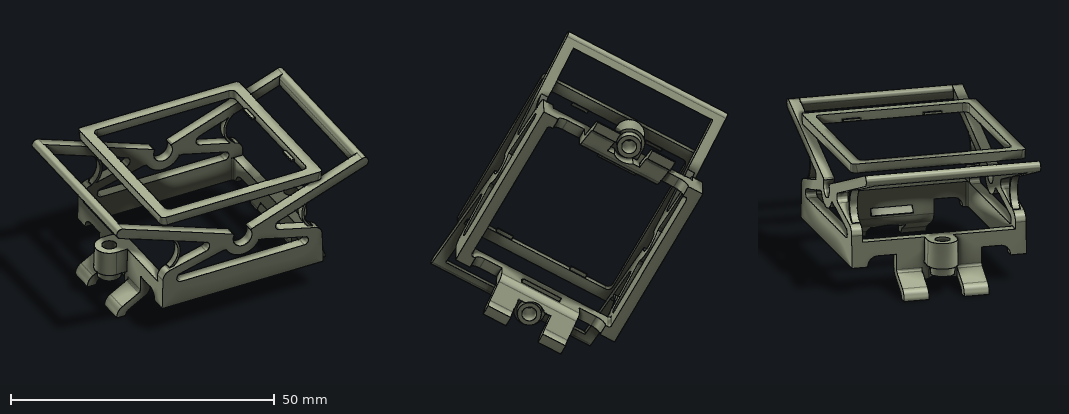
import cadquery as cq
import math


span = 54.0
side = 34.5
wall = 2.15
half_side = side / 2
half_inside = half_side - wall
pick_reach = 0.025
overlap = 0.55

rim_height = 5.0
end_draft = math.radians(1.5)
inside_corner_radius = 0.5
shoulder_height = 7.9
shoulder_radius = 2.0

link_angle = math.radians(14.4)
link_depth = 2.0
window_end = 14.1
window_radius = 0.85
link_flat_height = 9.2

arm_angle = math.radians(20)
arm_radius = 1.0
tip_y = span / 2 - arm_radius
tip_z = 19.9
bar_inside_y = tip_y - arm_radius
crotch_radius = 1.0

seat_z = 11.05
seat_radius = 2.0
seat_outer_radius = 4.0
mouth_half_width = 1.8
lip_radius = 0.3

spring_y = 17.4
spring_z = 11.7
spring_radius = 4.4
spring_thickness = 0.5
spring_width = 1.5
spring_end_reach = 0.2

notch_height = 2.05
notch_outer_x = 14.1
notch_radius = 2.0

clip_outer_x = 8.4
clip_inner_x = 3.45
clip_angle = math.radians(30)
clip_bend_z = -1.35
clip_bend_radius = 0.7
clip_inner_bend_z = -2.0
clip_inner_bend_radius = 2.15
clip_knee_y = 21.15
clip_inner_knee_y = 19.65
clip_tip_y = 22.35
clip_tip_inner_y = 20.4
clip_bottom = -5.85

ledge_width = 8.2
ledge_depth = 0.75
ledge_top = 1.3
ledge_bottom = -0.1

boss_y = 19.5
boss_radius = 2.95
boss_draft = 1.0
boss_hole_diameter = 2.8
nozzle_radius = 2.4
nozzle_length = 1.75
nozzle_draft = 3.0

frame_bottom = 18.85
frame_height = 1.85
frame_top_radius = 0.75
frame_bottom_radius = 1.2
frame_inside_radius = 1.0
tab_x = 8.0
tab_width = 3.45
tab_depth = 0.75
tab_bottom = 0.3
tab_tip_top = 0.75
tab_root_top = 0.65


def extrude_along_x(sketch_on_yz, x_start, x_end):
    """Extrude a YZ sketch from x_start to x_end."""
    return sketch_on_yz.extrude(x_end - x_start).translate((x_start, 0, 0))


def box(x_start, x_end, y_start, y_end, z_start, z_end):
    """Axis-aligned box between opposite corners."""
    size = (x_end - x_start, y_end - y_start, z_end - z_start)
    return cq.Workplane("XY").box(*size, centered=False).translate((x_start, y_start, z_start))


def both_ends(solid):
    """The solid at the +Y end together with its mirror image at the -Y end."""
    return solid.union(solid.mirror("XZ"))


def end_wall_y(z):
    """Outer face of the +Y end wall at height z."""
    return half_side - z * math.tan(end_draft)


def link_top_z(y):
    """Height of the upper face of the link."""
    return shoulder_height + (end_wall_y(shoulder_height) - y) * math.tan(link_angle)


def arm_center_z(y):
    """Height of the centre line of the lever arm."""
    return tip_z - (tip_y - y) * math.tan(arm_angle)


def fillet_at(solid, y, z, radius):
    """Round the X-direction edge that passes through (y, z)."""
    corner = cq.selectors.BoxSelector(
        (-side, y - pick_reach, z - pick_reach), (side, y + pick_reach, z + pick_reach)
    )
    return solid.edges(corner).fillet(radius)


def lower_profile():
    """The +Y half of end wall, side walls and links as a full-width block."""
    top_y = end_wall_y(shoulder_height)
    half = extrude_along_x(
        cq.Workplane("YZ").polyline([
            (0, 0), (half_side, 0), (top_y, shoulder_height), (0, link_top_z(0)),
        ]).close(),
        -half_side, half_side,
    )
    return fillet_at(half, top_y, shoulder_height, shoulder_radius)


def window_cut():
    """Opening under one link."""
    top_z = link_top_z(window_end) - link_depth
    flat_y = window_end - (link_flat_height - top_z) / math.tan(link_angle)
    cut = extrude_along_x(
        cq.Workplane("YZ").polyline([
            (0, rim_height), (window_end, rim_height), (window_end, top_z),
            (flat_y, link_flat_height), (0, link_flat_height),
        ]).close(),
        -half_side, half_side,
    )
    cut = fillet_at(cut, window_end, rim_height, window_radius)
    return fillet_at(cut, window_end, top_z, window_radius)


def arm():
    """Lever arm and handle bar at full width, running inward to the mouth of the seat."""
    half_depth = arm_radius / math.cos(arm_angle)
    lip_y = mouth_half_width
    lip_z = arm_center_z(lip_y) + half_depth
    normal_y = arm_radius * math.sin(arm_angle)
    normal_z = arm_radius * math.cos(arm_angle)
    body = extrude_along_x(
        cq.Workplane("YZ").moveTo(lip_y, lip_z)
        .lineTo(tip_y - normal_y, tip_z + normal_z)
        .threePointArc(
            (tip_y + arm_radius * math.cos(arm_angle), tip_z + arm_radius * math.sin(arm_angle)),
            (tip_y + normal_y, tip_z - normal_z),
        )
        .lineTo(lip_y, arm_center_z(lip_y) - half_depth)
        .close(),
        -half_side, half_side,
    )
    return fillet_at(body, lip_y, lip_z, lip_radius)


def crotch():
    """Web that fills the corner between arm and link up to a round end."""
    half_depth = arm_radius / math.cos(arm_angle)
    slope_sum = math.tan(arm_angle) + math.tan(link_angle)
    corner_y = (link_top_z(0) - arm_center_z(0) + half_depth) / slope_sum
    corner_z = link_top_z(corner_y)
    half_angle = (arm_angle + link_angle) / 2
    middle_angle = (arm_angle - link_angle) / 2
    reach = crotch_radius / math.sin(half_angle)
    center_y = corner_y + reach * math.cos(middle_angle)
    center_z = corner_z + reach * math.sin(middle_angle)
    upper = (
        center_y - crotch_radius * math.sin(arm_angle),
        center_z + crotch_radius * math.cos(arm_angle),
    )
    lower = (
        center_y - crotch_radius * math.sin(link_angle),
        center_z - crotch_radius * math.cos(link_angle),
    )
    nose = (
        center_y - crotch_radius * math.cos(middle_angle),
        center_z - crotch_radius * math.sin(middle_angle),
    )
    return extrude_along_x(
        cq.Workplane("YZ").moveTo(mouth_half_width, link_flat_height)
        .lineTo(*lower).threePointArc(nose, upper)
        .lineTo(mouth_half_width, arm_center_z(mouth_half_width)).close(),
        -half_side, half_side,
    )


def side_profile():
    """Everything that shares the side outline, as one block across the full width."""
    body = both_ends(lower_profile().cut(window_cut()))
    body = body.union(both_ends(arm().union(crotch())))
    seat = cq.Workplane("YZ").center(0, seat_z)
    disc = extrude_along_x(seat.circle(seat_outer_radius), -half_side, half_side)
    seat_top = seat_z + seat_outer_radius
    disc = disc.cut(box(-half_side, half_side, -half_side, half_side, seat_z, seat_top))
    bore = extrude_along_x(seat.circle(seat_radius), -half_side, half_side)
    mouth = box(-half_side, half_side, -mouth_half_width, mouth_half_width, seat_z, seat_top)
    return body.union(disc).cut(bore).cut(mouth)


def inside_cut():
    """Open middle of the housing: a square well, widened in Y above the rim."""
    well = (
        cq.Workplane("XY").rect(2 * half_inside, 2 * half_inside).extrude(rim_height)
        .edges("|Z").fillet(inside_corner_radius)
    )
    top = tip_z + arm_radius + overlap
    upper = box(-half_inside, half_inside, -bar_inside_y, bar_inside_y, rim_height, top)
    return well.union(upper)


def bar_rounding():
    """Cut that rounds the upper inner corner of the +Y handle bar between the arms."""
    corner = box(
        -half_inside, half_inside, bar_inside_y, tip_y, tip_z, tip_z + 2 * arm_radius
    )
    round_bar = extrude_along_x(
        cq.Workplane("YZ").center(tip_y, tip_z).circle(arm_radius), -half_inside, half_inside
    )
    return corner.cut(round_bar)


def notch():
    """Cut in the lower edge of the +Y end wall, round at the outer upper corner."""
    cut = box(clip_outer_x, notch_outer_x, half_inside - overlap, half_side + overlap, 0, notch_height)
    return cut.edges("|Y").edges(">X and >Z").fillet(notch_radius)


def clip_pair():
    """Clips below the +Y end wall, with the plain web between them."""
    slope = math.tan(clip_angle)
    bend_y = end_wall_y(clip_bend_z)
    knee_z = clip_bend_z - (clip_knee_y - bend_y) * slope
    inner_knee_z = clip_inner_bend_z - (clip_inner_knee_y - half_inside) * slope
    outer_side = (
        cq.Workplane("YZ").moveTo(half_inside, 0).lineTo(half_side, 0)
        .lineTo(bend_y, clip_bend_z).lineTo(clip_knee_y, knee_z)
        .tangentArcPoint((clip_tip_y, clip_bottom), relative=False)
        .lineTo(clip_tip_inner_y, clip_bottom)
    )
    chord_y = clip_tip_inner_y - clip_inner_knee_y
    chord_z = clip_bottom - inner_knee_z
    turn = math.atan2(-chord_z, chord_y) - clip_angle
    bulge = math.tan(turn / 2) / 2
    middle = (
        clip_inner_knee_y + chord_y / 2 - chord_z * bulge,
        inner_knee_z + chord_z / 2 + chord_y * bulge,
    )
    body = extrude_along_x(
        outer_side.threePointArc(middle, (clip_inner_knee_y, inner_knee_z))
        .lineTo(half_inside, clip_inner_bend_z).close(),
        -clip_outer_x, clip_outer_x,
    )
    body = fillet_at(body, bend_y, clip_bend_z, clip_bend_radius)
    body = fillet_at(body, half_inside, clip_inner_bend_z, clip_inner_bend_radius)
    gap = extrude_along_x(
        cq.Workplane("YZ").polyline([
            (half_side, 0), (end_wall_y(clip_bottom), clip_bottom),
            (clip_tip_y + overlap, clip_bottom), (clip_tip_y + overlap, 0),
        ]).close(),
        -clip_inner_x, clip_inner_x,
    )
    clearance = (
        cq.Workplane("XY").center(0, boss_y).circle(boss_radius).extrude(clip_bottom)
    )
    return body.cut(gap).cut(clearance)


def ledge():
    """Wedge on the inside of the +Y end wall."""
    tip = half_inside - ledge_depth
    return extrude_along_x(
        cq.Workplane("YZ").polyline([
            (half_inside, ledge_top), (tip, 0), (tip, ledge_bottom),
            (half_inside + overlap, ledge_bottom), (half_inside + overlap, ledge_top),
        ]).close(),
        -ledge_width / 2, ledge_width / 2,
    )


def boss():
    """Drafted boss on the +Y end wall with a nozzle below it."""
    back = half_inside + overlap
    body = (
        cq.Workplane("XY").moveTo(-boss_radius, back).lineTo(-boss_radius, boss_y)
        .threePointArc((0, boss_y + boss_radius), (boss_radius, boss_y))
        .lineTo(boss_radius, back).close().extrude(rim_height, taper=boss_draft)
    )
    nozzle = (
        cq.Workplane("XY").center(0, boss_y).circle(nozzle_radius)
        .extrude(-nozzle_length, taper=nozzle_draft)
    )
    return body.union(nozzle)


def boss_hole():
    """Hole through the +Y boss and its nozzle."""
    hole = cq.Workplane("XY").center(0, boss_y).circle(boss_hole_diameter / 2)
    return hole.extrude(rim_height + nozzle_length).translate((0, 0, -nozzle_length))


def spring():
    """Thin curved strip between the arm and the link at the +X, +Y corner."""
    center = cq.Workplane("YZ").center(spring_y, spring_z)
    ring = center.circle(spring_radius).circle(spring_radius - spring_thickness)
    strip = extrude_along_x(ring, half_inside, half_inside + spring_width)
    arm_line = arm_center_z(half_inside)
    link_line = link_top_z(half_inside) - link_depth / 2
    keep = box(
        half_inside, half_side, spring_y - spring_radius, half_inside + spring_end_reach,
        link_line, arm_line,
    )
    return strip.intersect(keep)


def make_housing():
    """Housing with side links, arms, handle bars, springs, clips and bosses in one piece."""
    body = side_profile().cut(inside_cut()).cut(both_ends(bar_rounding()))
    notches = both_ends(notch())
    body = body.cut(notches).cut(notches.mirror("YZ"))
    body = body.union(both_ends(clip_pair())).union(both_ends(ledge()))
    body = body.union(both_ends(boss())).cut(both_ends(boss_hole()))
    springs = both_ends(spring())
    return body.union(springs).union(springs.mirror("YZ"))


def rounded_square(radius):
    """Outline of the frame with rounded corners."""
    sketch = cq.Sketch().rect(side, side)
    return sketch.vertices().fillet(radius)


def make_frame():
    """Loose square frame; its outer corners are rounder at the bottom than at the top."""
    body = (
        cq.Workplane("XY")
        .placeSketch(
            rounded_square(frame_bottom_radius),
            rounded_square(frame_top_radius).moved(cq.Location(cq.Vector(0, 0, frame_height))),
        )
        .loft(ruled=True)
    )
    opening = (
        cq.Workplane("XY").rect(2 * half_inside, 2 * half_inside).extrude(frame_height)
        .edges("|Z").fillet(frame_inside_radius)
    )
    body = body.cut(opening)
    tip = half_inside - tab_depth
    root = half_inside + overlap
    for x in (-tab_x, tab_x):
        tab = extrude_along_x(
            cq.Workplane("YZ").polyline([
                (tip, tab_bottom), (root, tab_bottom), (root, tab_root_top),
                (half_inside, tab_root_top), (tip, tab_tip_top),
            ]).close(),
            x - tab_width / 2, x + tab_width / 2,
        )
        body = body.union(both_ends(tab))
    return body.translate((0, 0, frame_bottom))


housing = make_housing()
frame = make_frame()
result = cq.Compound.makeCompound([housing.val(), frame.val()])